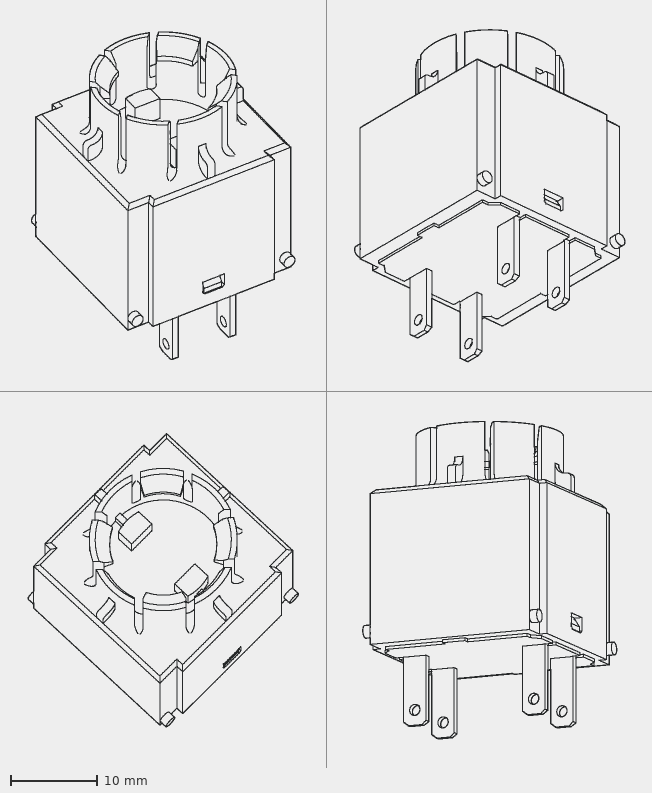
import cadquery as cq
import math


housing_width = 22.2
housing_height = 18.35
wall_inset_x = 10.15
side_panel_half = 8.27
top_chamfer = 0.5

collar_radius = 8.58
collar_height = 7.48
collar_fillet = 1.48
bore_diameter = 14.7
bore_depth = 1.58
mouth_radius = 7.9
mouth_depth = 1.7

slot_width = 1.0
slot_offset = 3.0
slot_clearance = 0.05

catch_inner_radius = 6.2
catch_lip = 0.7
catch_span = 39.5

rib_width = 1.03
rib_height = 2.2
rib_sweep = 1.27
rib_corner = 0.5

block_inner = 3.45
block_outer_radius = 5.83
block_width = 3.35
block_height = 2.95
web_width = 0.8
web_height = 1.37

pin_diameter = 1.5
pin_z = 1.7

window_width = 2.9
window_top = 3.7
window_bottom = 1.85
window_depth = 0.93
window_chamfer = 0.27
hook_width = 2.4
hook_edge_z = 2.55
hook_recess = 0.17

plate_thickness = 0.35
plate_half = 10.0
plate_edge_y = 9.23
plate_shoulder_x = 9.02
plate_shoulder_y = 8.37
plate_chamfer_y = 7.3
tab_half = 1.45

terminal_x = 7.58
terminal_width = 2.88
terminal_y = 3.9
terminal_thickness = 0.82
terminal_drop = 8.47
terminal_hole = 1.3
terminal_hole_drop = 6.7
tip_height = 0.45
tip_width = 1.8
tip_thickness = 0.6
relief_extra = 0.15

half_width = housing_width / 2
bore_radius = bore_diameter / 2
deck = housing_height
collar_top = deck + collar_height
floor = deck - bore_depth
rib_reach = half_width - top_chamfer
pin_y = half_width - pin_diameter / 2


def box(x_range, y_range, z_range):
    """Box between two limits along each axis."""
    size = [high - low for low, high in (x_range, y_range, z_range)]
    corner = (x_range[0], y_range[0], z_range[0])
    return cq.Workplane("XY").box(*size, centered=False).translate(corner)


def disc(radius, bottom, height):
    return cq.Workplane("XY").workplane(offset=bottom).circle(radius).extrude(height)


def make_housing():
    crossbar = cq.Workplane("XY").rect(2 * half_width, 2 * side_panel_half).extrude(housing_height)
    core = cq.Workplane("XY").rect(2 * wall_inset_x, housing_width).extrude(housing_height)
    return core.union(crossbar).faces(">Z").chamfer(top_chamfer)


def make_collar():
    foot_radius = collar_radius + collar_fillet
    sweep = collar_fillet * (1 - math.sqrt(0.5))
    return (
        cq.Workplane("XZ")
        .moveTo(0, floor)
        .lineTo(foot_radius, floor)
        .lineTo(foot_radius, deck)
        .threePointArc((collar_radius + sweep, deck + sweep), (collar_radius, deck + collar_fillet))
        .lineTo(collar_radius, collar_top)
        .lineTo(0, collar_top)
        .close()
        .revolve(360, (0, 0, 0), (0, 1, 0))
    )


def make_bore():
    """Straight bore with a tapered mouth."""
    return (
        cq.Workplane("XZ")
        .moveTo(0, floor)
        .lineTo(bore_radius, floor)
        .lineTo(bore_radius, collar_top - mouth_depth)
        .lineTo(mouth_radius, collar_top)
        .lineTo(0, collar_top)
        .close()
        .revolve(360, (0, 0, 0), (0, 1, 0))
    )


def make_catch(angle):
    """Ramped catch centred on the given angle, embedded in the collar wall."""
    outer = (mouth_radius + collar_radius) / 2
    return (
        cq.Workplane("XZ")
        .moveTo(mouth_radius, collar_top)
        .lineTo(catch_inner_radius, collar_top - mouth_depth)
        .lineTo(catch_inner_radius, collar_top - mouth_depth - catch_lip)
        .lineTo(outer, collar_top - mouth_depth - catch_lip)
        .lineTo(outer, collar_top)
        .close()
        .revolve(catch_span, (0, 0, 0), (0, 1, 0))
        .rotate((0, 0, 0), (0, 0, 1), angle - catch_span / 2)
    )


def make_slot(angle, offset):
    """Round-bottomed slot straight across the collar, just clear of the deck."""
    radius = slot_width / 2
    length = 2 * (collar_radius + collar_fillet)
    bottom = deck + slot_clearance
    profile = (
        cq.Workplane("YZ")
        .moveTo(-radius, collar_top)
        .lineTo(-radius, bottom + radius)
        .threePointArc((0, bottom), (radius, bottom + radius))
        .lineTo(radius, collar_top)
        .close()
    )
    slot = profile.extrude(length / 2, both=True)
    return slot.translate((0, offset, 0)).rotate((0, 0, 0), (0, 0, 1), angle)


def make_rib(angle):
    """Upright rib blending into the collar with a concave sweep."""
    root = (bore_radius + collar_radius) / 2
    top = deck + rib_height
    sweep = rib_sweep * (1 - math.sqrt(0.5))
    corner = rib_corner * (1 - math.sqrt(0.5))
    return (
        cq.Workplane("XZ")
        .moveTo(root, deck)
        .lineTo(rib_reach, deck)
        .lineTo(rib_reach, top - rib_corner)
        .threePointArc((rib_reach - corner, top - corner), (rib_reach - rib_corner, top))
        .lineTo(collar_radius + rib_sweep, top)
        .threePointArc((collar_radius + sweep, top + sweep), (collar_radius, top + rib_sweep))
        .lineTo(root, top + rib_sweep)
        .close()
        .extrude(rib_width / 2, both=True)
        .rotate((0, 0, 0), (0, 0, 1), angle)
    )


def make_contact_block(angle):
    """Block with a rounded back and a low web joining it to the bore wall."""
    half = block_width / 2
    block = box((block_inner, block_outer_radius), (-half, half), (floor, floor + block_height))
    block = block.intersect(disc(block_outer_radius, floor, block_height))
    web = box((block_inner, bore_radius), (-web_width / 2, web_width / 2), (floor, floor + web_height))
    web = web.intersect(disc(bore_radius, floor, web_height))
    return block.union(web).rotate((0, 0, 0), (0, 0, 1), angle)


def make_pin(side_x, side_y):
    pin = cq.Workplane("YZ").center(side_y * pin_y, pin_z).circle(pin_diameter / 2)
    return pin.extrude(side_x * half_width)


def make_latch_window(angle):
    """Shallow window with its lower corners cut off, less the ramped hook it leaves standing."""
    half = window_width / 2
    window = (
        cq.Workplane("YZ")
        .workplane(offset=half_width - window_depth)
        .moveTo(-half, window_top)
        .lineTo(-half, window_bottom + window_chamfer)
        .lineTo(-half + window_chamfer, window_bottom)
        .lineTo(half - window_chamfer, window_bottom)
        .lineTo(half, window_bottom + window_chamfer)
        .lineTo(half, window_top)
        .close()
        .extrude(window_depth)
    )
    hook = (
        cq.Workplane("XZ")
        .moveTo(half_width - window_depth, window_top)
        .lineTo(half_width - hook_recess, hook_edge_z)
        .lineTo(half_width - hook_recess, window_bottom)
        .lineTo(half_width - window_depth, window_bottom)
        .close()
        .extrude(hook_width / 2, both=True)
    )
    return window.cut(hook).rotate((0, 0, 0), (0, 0, 1), angle)


def make_base_plate():
    quarter = [
        (plate_half, 0),
        (plate_half, plate_chamfer_y),
        (plate_shoulder_x, plate_shoulder_y),
        (plate_shoulder_x, plate_edge_y),
        (0, plate_edge_y),
    ]
    half_outline = [(x, -y) for x, y in reversed(quarter)] + quarter[1:]
    right_half = cq.Workplane("XY").polyline(half_outline).close().extrude(-plate_thickness)
    tab = cq.Workplane("XY").rect(2 * tab_half, 2 * plate_half).extrude(-plate_thickness)
    plate = right_half.union(right_half.mirror("YZ")).union(tab)
    relief_inner = terminal_y - terminal_thickness / 2 - relief_extra
    relief_outer = terminal_y + terminal_thickness / 2
    for side_x in (-1, 1):
        for side_y in (-1, 1):
            x_range = sorted((side_x * plate_shoulder_x, side_x * plate_half))
            y_range = sorted((side_y * relief_inner, side_y * relief_outer))
            plate = plate.cut(box(x_range, y_range, (-plate_thickness, 0)))
    return plate


def make_terminal(side_x, side_y):
    """Flat blade with a tapered tip and a cross hole."""
    shank = terminal_drop - tip_height
    blade = cq.Workplane("XY").rect(terminal_width, terminal_thickness).extrude(-shank)
    tip = (
        cq.Workplane("XY")
        .workplane(offset=-shank)
        .rect(terminal_width, terminal_thickness)
        .workplane(offset=-tip_height)
        .rect(tip_width, tip_thickness)
        .loft()
    )
    hole = (
        cq.Workplane("XZ")
        .center(0, -terminal_hole_drop)
        .circle(terminal_hole / 2)
        .extrude(terminal_thickness, both=True)
    )
    return blade.union(tip).cut(hole).translate((side_x * terminal_x, side_y * terminal_y, 0))


result = make_housing().union(make_collar()).cut(make_bore())

for quadrant in range(4):
    result = result.union(make_catch(45 + 90 * quadrant))

for slot_angle in (45, 135):
    for slot_side in (-1, 1):
        result = result.cut(make_slot(slot_angle, slot_side * slot_offset))

for quadrant in range(4):
    result = result.union(make_rib(90 * quadrant))

for half_turn in (0, 180):
    result = result.union(make_contact_block(half_turn))
    result = result.cut(make_latch_window(half_turn))

result = result.union(make_base_plate())

for x_sign in (-1, 1):
    for y_sign in (-1, 1):
        result = result.union(make_pin(x_sign, y_sign))
        result = result.union(make_terminal(x_sign, y_sign))

result = cq.Workplane(result.solids().val())